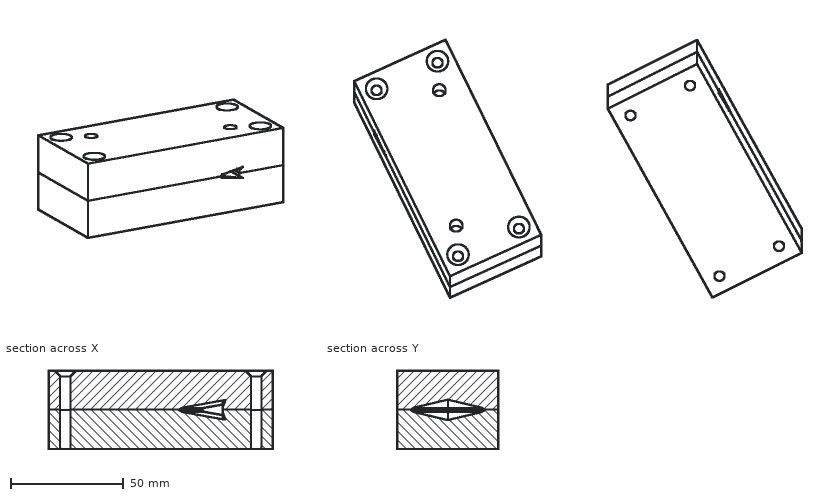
import cadquery as cq

WIDTH = 45.0
LENGTH = 100.0
PLATE_HEIGHT = 17.5

SCREW_X = 15.0
SCREW_Y = 42.5
SCREW_DIAMETER = 4.5
SINK_DIAMETER = 9.6
SINK_ANGLE = 90.0

DOWEL_DIAMETER = 5.6
DOWEL_DEPTH = 10.0
DOWEL_X = 10.0
DOWEL_Y = 30.0

TIP_Y = 17.8
SHOULDER_LENGTH = 1.8
SHOULDER_HEIGHT = 0.9
TAIL_Y = 27.6
NOTCH_HEIGHT = 1.5
BARB_Y = 29.3
BARB_HEIGHT = 2.6
TIP_ADVANCE = 29.0
BARB_RISE = TIP_ADVANCE * (BARB_HEIGHT - SHOULDER_HEIGHT) / (BARB_Y - TIP_Y - SHOULDER_LENGTH)


def make_plate(bottom):
    """Plain plate whose lower face is at the given height."""
    return (
        cq.Workplane("XY")
        .workplane(offset=bottom)
        .rect(WIDTH, LENGTH)
        .extrude(PLATE_HEIGHT)
    )


def make_section(x, tip_y, barb_y, barb_height):
    """Closed arrow outline in the plane at x, symmetric about Z = 0."""
    shoulder_y = tip_y + SHOULDER_LENGTH
    points = [
        (tip_y, 0),
        (shoulder_y, SHOULDER_HEIGHT),
        (barb_y, barb_height),
        (TAIL_Y, NOTCH_HEIGHT),
        (TAIL_Y, -NOTCH_HEIGHT),
        (barb_y, -barb_height),
        (shoulder_y, -SHOULDER_HEIGHT),
    ]
    return cq.Wire.makePolygon([cq.Vector(x, y, z) for y, z in points], close=True)


def make_cavity():
    """Cavity cutter, lofted straight from the middle section to each side face."""
    middle = make_section(0, TIP_Y - TIP_ADVANCE, TAIL_Y, BARB_HEIGHT + BARB_RISE)
    halves = []
    for side_x in (-WIDTH / 2, WIDTH / 2):
        mouth = make_section(side_x, TIP_Y, BARB_Y, BARB_HEIGHT)
        halves.append(cq.Solid.makeLoft([mouth, middle], True))
    return cq.Workplane(obj=halves[0]).union(cq.Workplane(obj=halves[1]))


screw_points = [(x, y) for x in (-SCREW_X, SCREW_X) for y in (-SCREW_Y, SCREW_Y)]
dowel_points = [(-DOWEL_X, -DOWEL_Y), (DOWEL_X, DOWEL_Y)]
cavity = make_cavity()

upper_plate = (
    make_plate(0)
    .faces(">Z").workplane(origin=(0, 0, PLATE_HEIGHT))
    .pushPoints(screw_points)
    .cskHole(SCREW_DIAMETER, SINK_DIAMETER, SINK_ANGLE)
    .pushPoints(dowel_points)
    .hole(DOWEL_DIAMETER, DOWEL_DEPTH)
    .cut(cavity)
)

lower_plate = (
    make_plate(-PLATE_HEIGHT)
    .faces(">Z").workplane(origin=(0, 0, 0))
    .pushPoints(screw_points)
    .hole(SCREW_DIAMETER)
    .cut(cavity)
)

result = cq.Compound.makeCompound([upper_plate.val(), lower_plate.val()])